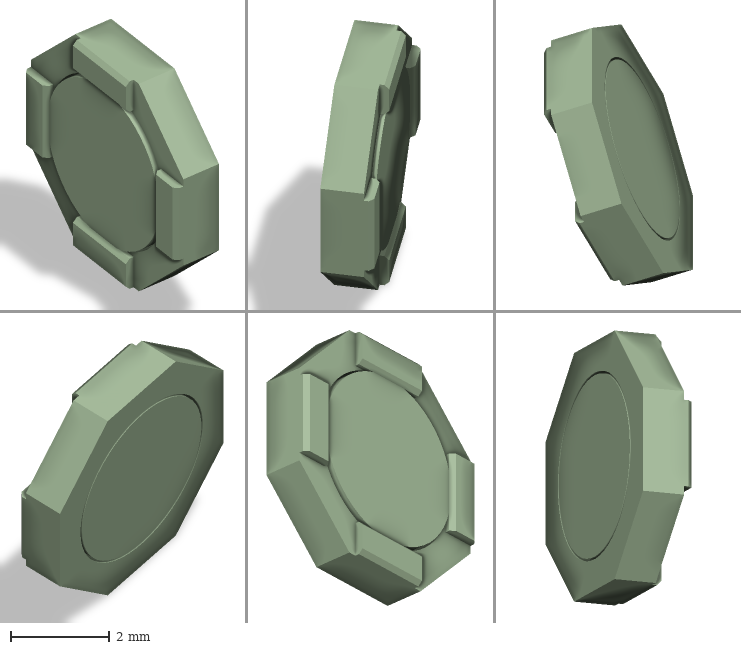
import cadquery as cq

width = 5.2
total_depth = 1.1
corner_cut = 1.52
core_radius = 1.9
core_gap = 0.05
terminal_length = 1.805
terminal_width = 0.76
step = 0.1

half_width = width / 2
back_y = total_depth / 2
terminal_face_y = -back_y
core_face_y = terminal_face_y + step
body_face_y = core_face_y + step


def make_body():
    """Octagonal frame with a round through-opening."""
    body_depth = back_y - body_face_y
    frame = (
        cq.Workplane("XZ", origin=(0, back_y, 0))
        .rect(width, width)
        .extrude(body_depth)
        .edges("|Y")
        .chamfer(corner_cut)
    )
    opening = (
        cq.Workplane("XZ", origin=(0, back_y, 0))
        .circle(core_radius + core_gap)
        .extrude(body_depth)
    )
    return frame.cut(opening)


def make_core():
    """Round core, flush at the back and proud of the frame at the front."""
    return (
        cq.Workplane("XZ", origin=(0, back_y, 0))
        .circle(core_radius)
        .extrude(back_y - core_face_y)
    )


def make_terminal():
    """Chamfered bar on the +X edge, bridging the frame and the core."""
    inner_x = half_width - terminal_width
    profile = [
        (inner_x, body_face_y),
        (inner_x, core_face_y),
        (inner_x + step, terminal_face_y),
        (half_width - step, terminal_face_y),
        (half_width, core_face_y),
        (half_width, body_face_y),
    ]
    return cq.Workplane("XY").polyline(profile).close().extrude(terminal_length / 2, both=True)


result = make_body().union(make_core())
terminal = make_terminal()
for angle in (0, 90, 180, 270):
    result = result.union(terminal.rotate((0, 0, 0), (0, 1, 0), angle))